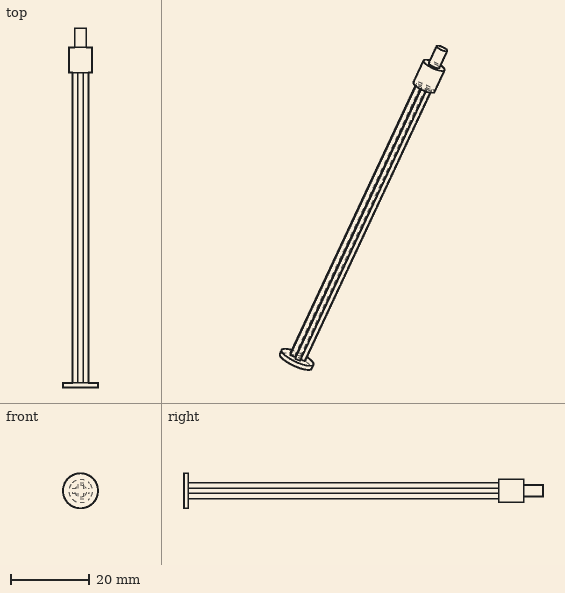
import cadquery as cq

total_length = 91.8

flange_diameter = 9.0
flange_thickness = 1.2
collar_diameter = 6.0
collar_length = 6.4
pin_diameter = 3.0
pin_length = 5.0

shaft_width = 4.1
rib_thickness = shaft_width / 3

flange_start = -total_length / 2
shaft_start = flange_start + flange_thickness
pin_start = total_length / 2 - pin_length
collar_start = pin_start - collar_length
shaft_length = collar_start - shaft_start


def section_plane(y):
    """Workplane across the axis at y, extruding toward +Y."""
    return cq.Workplane(cq.Plane(origin=(0, y, 0), xDir=(1, 0, 0), normal=(0, 1, 0)))


def cylinder(y, diameter, length):
    return section_plane(y).circle(diameter / 2).extrude(length)


def cross_shaft():
    flat_bar = section_plane(shaft_start).rect(shaft_width, rib_thickness).extrude(shaft_length)
    upright_bar = section_plane(shaft_start).rect(rib_thickness, shaft_width).extrude(shaft_length)
    return flat_bar.union(upright_bar)


flange = cylinder(flange_start, flange_diameter, flange_thickness)
collar = cylinder(collar_start, collar_diameter, collar_length)
pin = cylinder(pin_start, pin_diameter, pin_length)

result = flange.union(cross_shaft()).union(collar).union(pin)